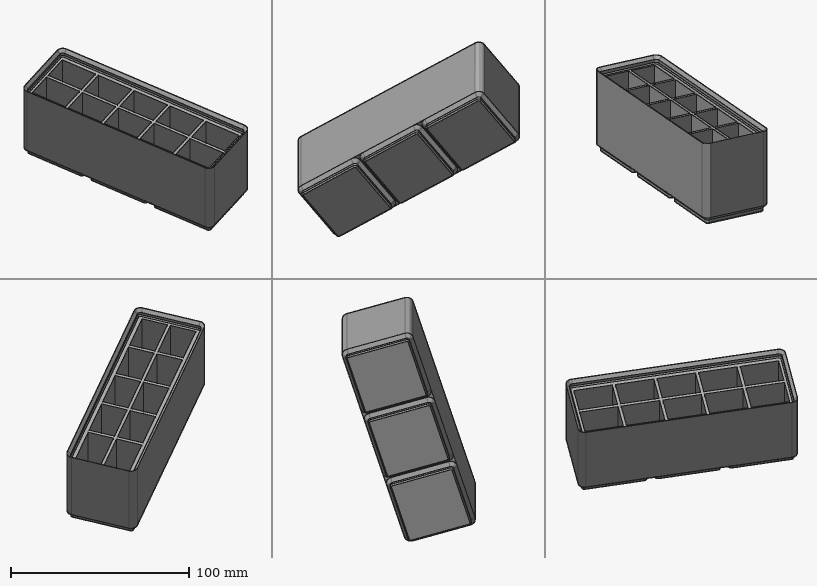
import cadquery as cq

UNIT_COUNT = 3
GRID_PITCH = 42.0
UNIT_SIZE = 41.5
OUTER_RADIUS = 3.75

LENGTH = (UNIT_COUNT - 1) * GRID_PITCH + UNIT_SIZE
WIDTH = UNIT_SIZE
TOTAL_HEIGHT = 50.2

FOOT_LOWER_BEVEL = 0.8
FOOT_BAND = 1.8
FOOT_UPPER_BEVEL = 2.15
FOOT_BAND_TOP = FOOT_LOWER_BEVEL + FOOT_BAND
FOOT_HEIGHT = FOOT_BAND_TOP + FOOT_UPPER_BEVEL

LIP_LOWER_BEVEL = 0.7
LIP_BAND = 1.8
LIP_UPPER_BEVEL = 1.9
SHELF_INSET = LIP_LOWER_BEVEL + LIP_UPPER_BEVEL
SHELF_Z = TOTAL_HEIGHT - (LIP_LOWER_BEVEL + LIP_BAND + LIP_UPPER_BEVEL)

POCKETS_X = 5
POCKETS_Y = 2
POCKET_LENGTH = 22.0
POCKET_WIDTH = 15.0
DIVIDER = 1.8
FLOOR_Z = 7.0


def rounded_outline(length, inset, z):
    """Rounded outline of a block `length` long, moved in by `inset` and raised to `z`."""
    outline = cq.Sketch().rect(length - 2 * inset, WIDTH - 2 * inset)
    outline = outline.vertices().fillet(OUTER_RADIUS - inset).reset()
    return outline.moved(cq.Location((0, 0, z)))


def stepped_block(length, levels):
    """Solid through a rising list of (inset, z) levels, joined by straight sides."""
    block = cq.Workplane("XY")
    for lower, upper in zip(levels, levels[1:]):
        lower_outline = rounded_outline(length, *lower)
        upper_outline = rounded_outline(length, *upper)
        layer = cq.Workplane("XY").placeSketch(lower_outline, upper_outline).loft(ruled=True)
        block = block.add(layer)
    return block.combine()


def make_foot():
    """One foot, centred on the Z axis and standing on Z = 0."""
    return stepped_block(
        UNIT_SIZE,
        [
            (FOOT_UPPER_BEVEL + FOOT_LOWER_BEVEL, 0),
            (FOOT_UPPER_BEVEL, FOOT_LOWER_BEVEL),
            (FOOT_UPPER_BEVEL, FOOT_BAND_TOP),
            (0, FOOT_HEIGHT),
        ],
    )


def make_body():
    """Plain block above the feet."""
    return stepped_block(LENGTH, [(0, FOOT_HEIGHT), (0, TOTAL_HEIGHT)])


def make_lip_recess():
    """Space inside the stacking lip, from the shelf up to the rim."""
    return stepped_block(
        LENGTH,
        [
            (SHELF_INSET, SHELF_Z),
            (LIP_UPPER_BEVEL, SHELF_Z + LIP_LOWER_BEVEL),
            (LIP_UPPER_BEVEL, SHELF_Z + LIP_LOWER_BEVEL + LIP_BAND),
            (0, TOTAL_HEIGHT),
        ],
    )


def make_pockets():
    """Grid of rectangular pockets between the floor and the shelf."""
    return (
        cq.Workplane("XY", origin=(0, 0, FLOOR_Z))
        .rarray(POCKET_LENGTH + DIVIDER, POCKET_WIDTH + DIVIDER, POCKETS_X, POCKETS_Y)
        .rect(POCKET_LENGTH, POCKET_WIDTH)
        .extrude(SHELF_Z - FLOOR_Z)
    )


body = make_body()
for unit in range(UNIT_COUNT):
    foot_x = (unit - (UNIT_COUNT - 1) / 2) * GRID_PITCH
    body = body.union(make_foot().translate((foot_x, 0, 0)))

result = body.cut(make_lip_recess()).cut(make_pockets())